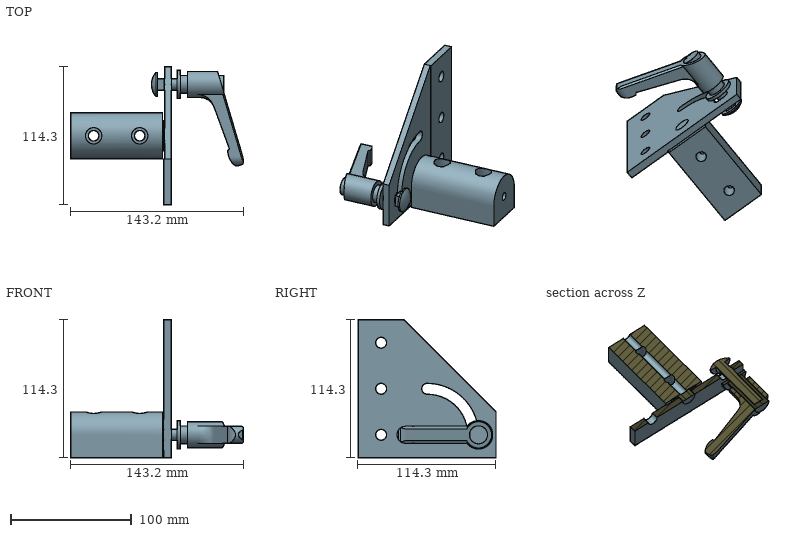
import cadquery as cq
import math

MODULE = 38.1
AXIS_Z = MODULE / 2
PIVOT_Y = 1.5 * MODULE

BLOCK_LENGTH = 2 * MODULE
BLOCK_HOLE_X = (MODULE / 2, 1.5 * MODULE)
BLOCK_HOLE_D = 8.5
BLOCK_COUNTERBORE_D = 13.5
BLOCK_COUNTERBORE_DEPTH = 8.5
AXIAL_HOLE_D = 6.5

FLANGE_D = 25.4
FLANGE_THICKNESS = 0.8
PIVOT_D = 12.7

PLATE_SIZE = 3 * MODULE
PLATE_THICKNESS = 6.35
PLATE_RELIEF = 0.8
PLATE_FRONT_X = BLOCK_LENGTH + FLANGE_THICKNESS
PLATE_BACK_X = PLATE_FRONT_X + PLATE_THICKNESS
PLATE_HOLE_D = 8.8

BOLT_Y = 99.6
BOLT_D = 9.6
BOLT_HEAD_D = 20.1
BOLT_RIM_THICKNESS = 1.4
BOLT_DOME_HEIGHT = 3.7
BOLT_HEAD_BACK_X = 71.9
BOLT_NECK_LENGTH = 5.2
BOLT_LENGTH = 50.8
BOLT_END_X = BOLT_HEAD_BACK_X + BOLT_LENGTH

WASHER_D = 23.6
WASHER_FRONT_X = 88.1
WASHER_THICKNESS = 2.7
WASHER_BACK_X = WASHER_FRONT_X + WASHER_THICKNESS
INSERT_D = 14.9
INSERT_END_X = 126.9

HUB_D = 21.8
HUB_FRONT_X = 96.7
HUB_FAR_Y = BOLT_Y + HUB_D / 2
HUB_NEAR_Y = BOLT_Y - HUB_D / 2
ARM_HEIGHT = 14.2
ARM_ROUND_Y = 39.35
ARM_TIP_Y = ARM_ROUND_Y - ARM_HEIGHT / 2
ARM_BEVEL_DEPTH = 1.3
ARM_BEVEL_HEIGHT = 2.4
ARM_FILLET = 12.0
OUTER_START = (121.6, HUB_FAR_Y)
OUTER_END = (142.7, ARM_ROUND_Y)
INNER_START = (117.9, 82.8)
INNER_END = (131.3, 46.3)
STOP_LIP = (129.9, 45.0)
STOP_ARC_MIDDLE = (131.4, 38.3)
STOP_ARC_END = (134.9, 33.4)
TIP_NEAR = (136.4, ARM_TIP_Y)
TIP_FAR = (138.7, ARM_TIP_Y)
TIP_CORNER_NEAR = (142.3, 33.5)
TIP_CORNER_FAR = (143.22, 35.2)


def x_on_line(start, end, y):
    """X at the given Y on the straight line through two XY points."""
    return start[0] + (end[0] - start[0]) * (y - start[1]) / (end[1] - start[1])


def x_cylinder(diameter, start_x, end_x, y):
    """Cylinder along X at the common axis height."""
    return cq.Workplane("YZ", origin=(start_x, y, AXIS_Z)).circle(diameter / 2).extrude(end_x - start_x)


def vertical_cylinders(diameter, start_z, end_z):
    """Cylinders along Z on both mounting hole centres of the block."""
    return (
        cq.Workplane("XY", origin=(0, PIVOT_Y, start_z))
        .pushPoints([(x, 0) for x in BLOCK_HOLE_X])
        .circle(diameter / 2)
        .extrude(end_z - start_z)
    )


def make_block():
    """Round-topped bar with two counterbored holes and a bore along the pivot axis."""
    half_width = MODULE / 2
    bar = (
        cq.Workplane("YZ", origin=(0, PIVOT_Y, 0))
        .moveTo(-half_width, 0)
        .lineTo(half_width, 0)
        .lineTo(half_width, AXIS_Z)
        .threePointArc((0, MODULE), (-half_width, AXIS_Z))
        .close()
        .extrude(BLOCK_LENGTH)
    )
    return (
        bar.cut(x_cylinder(AXIAL_HOLE_D, 0, BLOCK_LENGTH, PIVOT_Y))
        .cut(vertical_cylinders(BLOCK_HOLE_D, 0, MODULE))
        .cut(vertical_cylinders(BLOCK_COUNTERBORE_D, MODULE - BLOCK_COUNTERBORE_DEPTH, MODULE))
    )


def make_pivot():
    """Thrust flange between block and plate, with a journal through the plate."""
    flange = x_cylinder(FLANGE_D, BLOCK_LENGTH, PLATE_FRONT_X, PIVOT_Y)
    return flange.union(x_cylinder(PIVOT_D, PLATE_FRONT_X, PLATE_BACK_X, PIVOT_Y))


def make_slot():
    """Quarter-circle slot about the pivot axis, with round ends."""
    inner = MODULE - PLATE_HOLE_D / 2
    outer = MODULE + PLATE_HOLE_D / 2
    diagonal = math.sqrt(0.5)
    band = (
        cq.Workplane("YZ", origin=(PLATE_FRONT_X, PIVOT_Y, AXIS_Z))
        .moveTo(outer, 0)
        .threePointArc((outer * diagonal, outer * diagonal), (0, outer))
        .lineTo(0, inner)
        .threePointArc((inner * diagonal, inner * diagonal), (inner, 0))
        .close()
        .extrude(PLATE_THICKNESS)
    )
    end_rounds = (
        cq.Workplane("YZ", origin=(PLATE_FRONT_X, PIVOT_Y, AXIS_Z))
        .pushPoints([(MODULE, 0), (0, MODULE)])
        .circle(PLATE_HOLE_D / 2)
        .extrude(PLATE_THICKNESS)
    )
    return band.union(end_rounds)


def make_plate():
    """Plate with one sloping corner; only its mounting strip has the full thickness."""
    plate = (
        cq.Workplane("YZ", origin=(PLATE_FRONT_X, 0, 0))
        .polyline([(0, 0), (PLATE_SIZE, 0), (PLATE_SIZE, MODULE), (MODULE, PLATE_SIZE), (0, PLATE_SIZE)])
        .close()
        .extrude(PLATE_THICKNESS)
    )
    relief = (
        cq.Workplane("XY", origin=(PLATE_FRONT_X, MODULE, 0))
        .box(PLATE_RELIEF, PLATE_SIZE, PLATE_SIZE, centered=False)
    )
    mounting_holes = (
        cq.Workplane("YZ", origin=(PLATE_FRONT_X, MODULE / 2, AXIS_Z))
        .pushPoints([(0, row * MODULE) for row in range(3)])
        .circle(PLATE_HOLE_D / 2)
        .extrude(PLATE_THICKNESS)
    )
    return (
        plate.cut(relief)
        .cut(mounting_holes)
        .cut(make_slot())
        .cut(x_cylinder(PIVOT_D, PLATE_FRONT_X, PLATE_BACK_X, PIVOT_Y))
        .cut(x_cylinder(BOLT_D, PLATE_FRONT_X, PLATE_BACK_X, BOLT_Y))
    )


def make_bolt():
    """Carriage bolt with a domed head, a square neck and a round shank."""
    radius = BOLT_HEAD_D / 2
    rim_x = BOLT_HEAD_BACK_X - BOLT_RIM_THICKNESS
    dome_radius = (radius**2 + BOLT_DOME_HEIGHT**2) / (2 * BOLT_DOME_HEIGHT)
    half_sag = dome_radius - math.sqrt(dome_radius**2 - (radius / 2) ** 2)
    dome_x = rim_x - BOLT_DOME_HEIGHT
    head = (
        cq.Workplane("XY", origin=(0, BOLT_Y, AXIS_Z))
        .moveTo(dome_x, 0)
        .threePointArc((dome_x + half_sag, radius / 2), (rim_x, radius))
        .lineTo(BOLT_HEAD_BACK_X, radius)
        .lineTo(BOLT_HEAD_BACK_X, 0)
        .close()
        .revolve(360, (0, 0, 0), (1, 0, 0))
    )
    neck = (
        cq.Workplane("YZ", origin=(BOLT_HEAD_BACK_X, BOLT_Y, AXIS_Z))
        .rect(BOLT_D, BOLT_D)
        .extrude(BOLT_NECK_LENGTH)
    )
    shank = x_cylinder(BOLT_D, BOLT_HEAD_BACK_X, BOLT_END_X, BOLT_Y)
    return head.union(neck).union(shank)


def make_washer():
    """Flat washer on the bolt shank."""
    washer = x_cylinder(WASHER_D, WASHER_FRONT_X, WASHER_BACK_X, BOLT_Y)
    return washer.cut(x_cylinder(BOLT_D, WASHER_FRONT_X, WASHER_BACK_X, BOLT_Y))


def make_insert():
    """Core of the lever, bored for the bolt shank."""
    insert = x_cylinder(INSERT_D, WASHER_BACK_X, INSERT_END_X, BOLT_Y)
    return insert.cut(x_cylinder(BOLT_D, WASHER_BACK_X, BOLT_END_X, BOLT_Y))


def make_arm():
    """Sloping arm with a finger stop, a rounded tip and a bevelled outer face."""
    base_z = AXIS_Z - ARM_HEIGHT / 2
    top_z = ARM_HEIGHT / 2
    outline = (
        cq.Workplane("XY", origin=(0, 0, base_z))
        .moveTo(x_on_line(OUTER_START, OUTER_END, BOLT_Y), BOLT_Y)
        .lineTo(*OUTER_END)
        .lineTo(*TIP_CORNER_FAR)
        .lineTo(*TIP_CORNER_NEAR)
        .lineTo(*TIP_FAR)
        .lineTo(*TIP_NEAR)
        .lineTo(*STOP_ARC_END)
        .threePointArc(STOP_ARC_MIDDLE, STOP_LIP)
        .lineTo(*INNER_END)
        .lineTo(x_on_line(INNER_START, INNER_END, BOLT_Y), BOLT_Y)
        .close()
        .extrude(ARM_HEIGHT)
    )
    rounded = (
        cq.Workplane("YZ", origin=(HUB_FRONT_X, ARM_ROUND_Y, AXIS_Z))
        .moveTo(BOLT_Y, top_z)
        .lineTo(0, top_z)
        .threePointArc((-top_z, 0), (0, -top_z))
        .lineTo(BOLT_Y, -top_z)
        .close()
        .extrude(BLOCK_LENGTH)
    )
    run_x = OUTER_END[0] - OUTER_START[0]
    run_y = OUTER_END[1] - OUTER_START[1]
    across = cq.Plane(origin=(*OUTER_START, AXIS_Z), xDir=(run_y, -run_x, 0), normal=(run_x, run_y, 0))
    bevelled = (
        cq.Workplane(across)
        .polyline([
            (0, top_z - ARM_BEVEL_HEIGHT),
            (ARM_BEVEL_DEPTH, top_z),
            (MODULE, top_z),
            (MODULE, -top_z),
            (ARM_BEVEL_DEPTH, -top_z),
            (0, ARM_BEVEL_HEIGHT - top_z),
        ])
        .close()
        .extrude(PLATE_SIZE)
    )
    return outline.intersect(rounded).intersect(bevelled)


def make_hub():
    """Cylinder whose end is cut off along the outer face of the arm."""
    hub_end_x = x_on_line(OUTER_START, OUTER_END, HUB_NEAR_Y)
    outline = (
        cq.Workplane("XY")
        .polyline([
            (HUB_FRONT_X, HUB_FAR_Y),
            OUTER_START,
            (hub_end_x, HUB_NEAR_Y),
            (HUB_FRONT_X, HUB_NEAR_Y),
        ])
        .close()
        .extrude(MODULE)
    )
    return x_cylinder(HUB_D, HUB_FRONT_X, hub_end_x, BOLT_Y).intersect(outline)


def make_lever():
    """Hub and arm, blended on the inner side and bored for the insert."""
    inner_corner = (x_on_line(INNER_START, INNER_END, HUB_NEAR_Y), HUB_NEAR_Y, AXIS_Z)
    lever = (
        make_hub()
        .union(make_arm())
        .edges(cq.selectors.NearestToPointSelector(inner_corner))
        .fillet(ARM_FILLET)
    )
    return lever.cut(x_cylinder(INSERT_D, WASHER_BACK_X, INSERT_END_X, BOLT_Y))


block = make_block()
pivot = make_pivot()
plate = make_plate()
bolt = make_bolt()
washer = make_washer()
insert = make_insert()
lever = make_lever()

result = cq.Compound.makeCompound([
    block.val(),
    pivot.val(),
    plate.val(),
    bolt.val(),
    washer.val(),
    insert.val(),
    lever.val(),
])